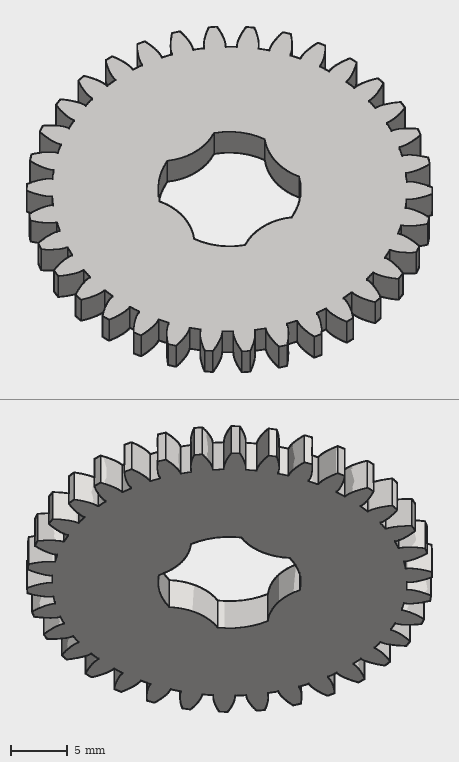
import cadquery as cq
import math

TOOTH_COUNT = 34
TIP_RADIUS = 18.0
MODULE = 2 * TIP_RADIUS / (TOOTH_COUNT + 2)
PRESSURE_ANGLE = math.radians(20)
DEDENDUM_FACTOR = 1.25
PITCH_RADIUS = MODULE * TOOTH_COUNT / 2
ROOT_RADIUS = PITCH_RADIUS - DEDENDUM_FACTOR * MODULE
BASE_RADIUS = PITCH_RADIUS * math.cos(PRESSURE_ANGLE)
FLANK_POINTS = 6
THICKNESS = 3.13

BORE_RADIUS = 6.35
LOBE_COUNT = 4
LOBE_RADIUS = 5.22
LOBE_CLEARANCE = 5.1


def polar(radius, angle):
    return (radius * math.cos(angle), radius * math.sin(angle))


def involute(angle):
    return math.tan(angle) - angle


def tooth_half_angle(radius):
    """Half of the angle a tooth spans at a radius on its involute flank."""
    pitch_half_angle = math.pi / (2 * TOOTH_COUNT)
    roll_angle = math.acos(min(1.0, BASE_RADIUS / radius))
    return pitch_half_angle + involute(PRESSURE_ANGLE) - involute(roll_angle)


def gear_blank():
    """Toothed disc with the first tooth centred on +X."""
    tooth_pitch = 2 * math.pi / TOOTH_COUNT
    root_half_angle = tooth_half_angle(BASE_RADIUS)
    flank_step = (TIP_RADIUS - BASE_RADIUS) / (FLANK_POINTS - 1)
    flank_radii = [BASE_RADIUS + flank_step * i for i in range(FLANK_POINTS)]

    outline = cq.Workplane("XY").moveTo(*polar(ROOT_RADIUS, -root_half_angle))
    for tooth in range(TOOTH_COUNT):
        center = tooth * tooth_pitch
        rising = [polar(r, center - tooth_half_angle(r)) for r in flank_radii]
        falling = [polar(r, center + tooth_half_angle(r)) for r in reversed(flank_radii)]
        outline = (
            outline.lineTo(*rising[0])
            .spline(rising[1:], includeCurrent=True)
            .threePointArc(polar(TIP_RADIUS, center), falling[0])
            .spline(falling[1:], includeCurrent=True)
            .lineTo(*polar(ROOT_RADIUS, center + root_half_angle))
            .threePointArc(
                polar(ROOT_RADIUS, center + tooth_pitch / 2),
                polar(ROOT_RADIUS, center + tooth_pitch - root_half_angle),
            )
        )
    return outline.close().extrude(THICKNESS)


def lobed_bore():
    """Cutter for the through hole."""
    lobes = (
        cq.Workplane("XY")
        .polarArray(LOBE_CLEARANCE + LOBE_RADIUS, 0, 360, LOBE_COUNT)
        .circle(LOBE_RADIUS)
        .extrude(THICKNESS)
    )
    return cq.Workplane("XY").circle(BORE_RADIUS).extrude(THICKNESS).cut(lobes)


result = gear_blank().cut(lobed_bore())